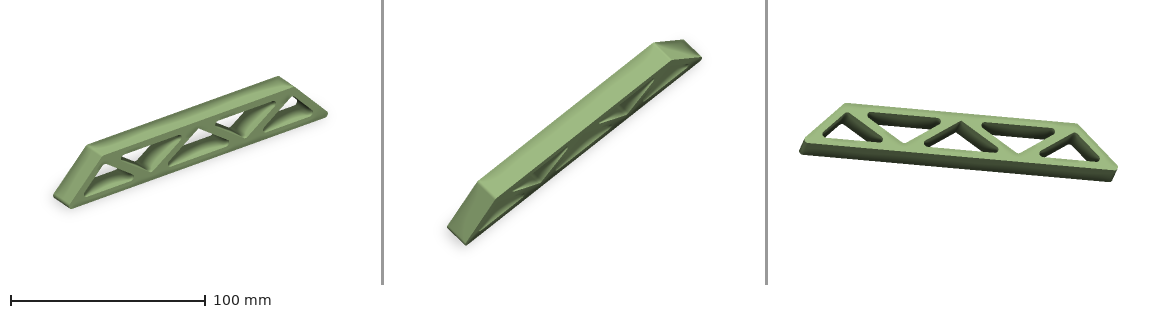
import cadquery as cq
import math

length = 164.0
width = 14.0
height = 25.0

end_slope_angle = 46.3
corner_radius = 2.0

chord = 4.0
window_radius = 2.0
web_angle = 35.2
upper_tip_y = 29.8
upper_tip_z = 4.5
center_tip_z = 20.7
end_tip_y = 59.7
end_tip_z = 20.2

web_slope = math.tan(math.radians(web_angle))
end_slope = math.tan(math.radians(end_slope_angle))
window_floor = chord
window_ceiling = height - chord


def prism(points):
    """Extrude a closed Y-Z outline across the full width, centered on X."""
    return cq.Workplane("YZ").polyline(points).close().extrude(width / 2, both=True)


def triangle(tip_y, tip_z, base_z, left_slope, right_slope):
    """Triangular prism with a horizontal base and two sloping sides."""
    rise = abs(tip_z - base_z)
    return prism([
        (tip_y, tip_z),
        (tip_y - rise / left_slope, base_z),
        (tip_y + rise / right_slope, base_z),
    ])


def make_body():
    """Trapezoid with rounded corners; the foot rounds define the overall length."""
    foot_tangent = corner_radius / math.tan(math.radians(end_slope_angle / 2))
    foot_half_length = length / 2 + foot_tangent - corner_radius
    top_half_length = foot_half_length - height / end_slope
    body = prism([
        (-foot_half_length, 0),
        (foot_half_length, 0),
        (top_half_length, height),
        (-top_half_length, height),
    ])
    return body.edges("|X").fillet(corner_radius)


def make_center_window():
    """Upright triangle with rounded base corners and a sharp tip."""
    window = triangle(0, center_tip_z, window_floor, web_slope, web_slope)
    return window.edges("|X and <Z").fillet(window_radius)


def make_upper_window():
    """Inverted triangle, rounded at all corners, on the +Y side."""
    window = triangle(upper_tip_y, upper_tip_z, window_ceiling, web_slope, web_slope)
    return window.edges("|X").fillet(window_radius)


def make_end_window():
    """Upright triangle beside the sloping +Y end."""
    window = triangle(end_tip_y, end_tip_z, window_floor, web_slope, end_slope)
    return window.edges("|X").fillet(window_radius)


result = make_body().cut(make_center_window())
for side_window in (make_upper_window(), make_end_window()):
    result = result.cut(side_window).cut(side_window.mirror("XZ"))